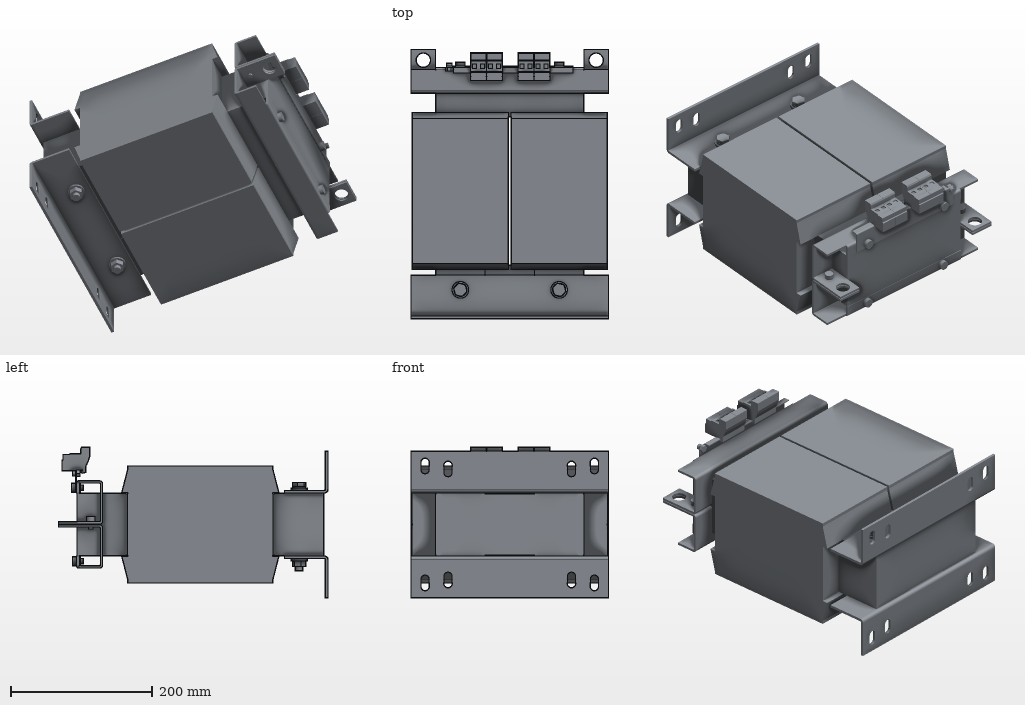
import cadquery as cq


LEG_WIDTH = 70.0
CORE_WIDTH = 3 * LEG_WIDTH
CORE_LENGTH = 5 * LEG_WIDTH
CORE_HEIGHT = 87.0
CORE_FRONT = 6.0
CORE_REAR = CORE_FRONT + CORE_LENGTH
WINDOW_FRONT = CORE_FRONT + LEG_WIDTH
WINDOW_REAR = CORE_REAR - LEG_WIDTH
PAD_THICKNESS = 1.0
CLAMP_Z = CORE_HEIGHT / 2 + PAD_THICKNESS

COIL_OUTER_X = 138.5
COIL_GAP = 4.0
COIL_HEIGHT = 166.0
COIL_CLEARANCE = 2.0
COIL_FRONT = WINDOW_FRONT + COIL_CLEARANCE
COIL_REAR = WINDOW_REAR - COIL_CLEARANCE
FLANGE_OVERHANG = 8.5
FLANGE_TOP = 78.0
FLANGE_CLEARANCE = 0.5
FLANGE_BOTTOM = CLAMP_Z + FLANGE_CLEARANCE

BRACKET_WIDTH = 280.0
BRACKET_THICKNESS = 4.0
BRACKET_BEND = 5.0
BRACKET_DEPTH = 61.8
BRACKET_TOP = 104.0
SLOT_LENGTH = 22.0
SLOT_WIDTH = 11.5
SLOT_CENTRES = [(120.0, 82.8), (87.5, 78.6)]

CHANNEL_THICKNESS = 3.5
CHANNEL_BEND = 4.5
CHANNEL_BOTTOM = 0.4
CHANNEL_TOP = 62.0
INNER_FLANGE_Z = CHANNEL_BOTTOM + CHANNEL_THICKNESS
CHANNEL_FRONT = 319.3
FLANGE_REAR = 353.0
LIP_THICKNESS = 4.0
LIP_PROJECTION = 0.5
LIP_REAR = CORE_REAR + LIP_PROJECTION
LUG_REAR = 382.0
LUG_WIDTH = (BRACKET_WIDTH - CORE_WIDTH) / 2
LUG_X = (BRACKET_WIDTH - LUG_WIDTH) / 2
LUG_HOLE_DIAMETER = 20.0
LUG_HOLE_Y = 366.5

LEG_X = LEG_WIDTH
CORE_BOLT_Y = CORE_FRONT + LEG_WIDTH / 2
CORE_HEX_DIAMETER = 19.7
CORE_HEX_TURN = 45.0
CORE_NUT_TURN = 17.0
CORE_HEAD_HEIGHT = 5.8
CORE_NUT_HEIGHT = 8.4
CORE_STUD_DIAMETER = 11.0
CORE_STUD_END = 65.6
WASHER_DIAMETER = 23.5
WASHER_THICKNESS = 3.0
SPRING_WASHER_DIAMETER = 18.5
SPRING_WASHER_THICKNESS = 2.3
LIP_BOLT_Z = 52.0
LIP_HEAD_DIAMETER = 13.2
LIP_HEAD_HEIGHT = 5.8
LIP_NUT_DIAMETER = 14.0
LIP_NUT_HEIGHT = 1.7
LIP_SHAFT_DIAMETER = 8.0
LIP_SHAFT_END = 5.6
LUG_BOLT_Y = 336.3
LUG_HEAD_DIAMETER = 12.0
LUG_HEAD_HEIGHT = 7.2
LUG_SHAFT_DIAMETER = 6.5
LUG_SHAFT_END = 2.8

RAIL_LEFT = -79.7
RAIL_RIGHT = 89.5
RAIL_THICKNESS = 1.5
RAIL_BOTTOM = 45.0
RAIL_TOP = 77.0
RAIL_REAR = LIP_REAR + RAIL_THICKNESS
RAIL_SHELF_DEPTH = 9.8
RAIL_BEND = 2.2
EARTH_X = -85.7
EARTH_Z = 72.5
EARTH_TAB_LEFT = -90.0
EARTH_HEAD_DIAMETER = 8.0
EARTH_HEAD_HEIGHT = 4.5
EARTH_NUT_DIAMETER = 11.0
EARTH_NUT_HEIGHT = 5.0

TERMINAL_PITCH = 22.6
TERMINAL_GAP = 0.3
TERMINAL_GROUPS = [-33.0, 34.4]
OVERALL_HEIGHT = 213.55
TERMINAL_TOP = OVERALL_HEIGHT - BRACKET_TOP
TERMINAL_DECK_Z = 100.5
ENTRY_SIZE = 6.0
ENTRY_DEPTH = 2.0
ENTRY_Y = 358.0
TERMINAL_OUTLINE = [
    (377.3, 76.0), (377.3, 91.0), (375.8, 91.5), (375.8, 99.2), (366.5, 99.2),
    (365.3, TERMINAL_DECK_Z), (350.5, TERMINAL_DECK_Z), (350.5, 107.0), (349.3, TERMINAL_TOP),
    (337.6, TERMINAL_TOP), (337.6, 96.5), (339.5, 90.5), (343.2, 82.4), (343.2, 73.7),
    (348.4, 72.5), (352.0, 76.0),
]


def block(x_range, y_range, z_range):
    """Axis-aligned box between pairs of limits."""
    (x0, x1), (y0, y1), (z0, z1) = x_range, y_range, z_range
    return cq.Workplane("XY").box(x1 - x0, y1 - y0, z1 - z0, centered=False).translate((x0, y0, z0))


def side_prism(outline, x0, x1):
    """Closed (Y, Z) outline extruded along X."""
    return cq.Workplane("YZ").polyline(outline).close().extrude(x1 - x0).translate((x0, 0, 0))


def rod_y(x, z, diameter, y0, y1):
    """Round bar along Y."""
    return cq.Workplane("XZ").circle(diameter / 2).extrude(y0 - y1).translate((x, y0, z))


def rod_z(x, y, diameter, z0, z1):
    """Round bar along Z."""
    return cq.Workplane("XY").circle(diameter / 2).extrude(z1 - z0).translate((x, y, z0))


def hex_z(x, y, diameter, turn, z0, z1):
    """Hexagonal bar along Z, sized across its corners."""
    bar = cq.Workplane("XY").polygon(6, diameter).extrude(z1 - z0)
    return bar.rotate((0, 0, 0), (0, 0, 1), turn).translate((x, y, z0))


def mirrored(shape, plane):
    """The shape together with its mirror image."""
    return shape.union(shape.mirror(plane))


def make_core():
    """Rectangular core frame with insulating pads on its yokes."""
    half_x = CORE_WIDTH / 2
    half_z = CORE_HEIGHT / 2
    window_x = LEG_WIDTH / 2
    core = block((-half_x, half_x), (CORE_FRONT, CORE_REAR), (-half_z, half_z))
    window = block((-window_x, window_x), (WINDOW_FRONT, WINDOW_REAR), (-half_z, half_z))
    rear_pad = block((-half_x, half_x), (WINDOW_REAR, CORE_REAR), (half_z, CLAMP_Z))
    front_pad = block((window_x, half_x), (CORE_FRONT, WINDOW_FRONT), (half_z, CLAMP_Z))
    pads = rear_pad.union(mirrored(front_pad, "YZ"))
    return core.cut(window).union(mirrored(pads, "XY"))


def make_coils():
    """Coil on each leg, with sloping end flanges above and below the yokes."""
    top = COIL_HEIGHT / 2
    upper_outline = [
        (COIL_FRONT, 0),
        (COIL_FRONT, FLANGE_BOTTOM),
        (COIL_FRONT - FLANGE_OVERHANG, FLANGE_BOTTOM),
        (COIL_FRONT, FLANGE_TOP),
        (COIL_FRONT, top),
        (COIL_REAR, top),
        (COIL_REAR, FLANGE_TOP),
        (COIL_REAR + FLANGE_OVERHANG, FLANGE_BOTTOM),
        (COIL_REAR, FLANGE_BOTTOM),
        (COIL_REAR, 0),
    ]
    upper_half = side_prism(upper_outline, COIL_GAP / 2, COIL_OUTER_X)
    return mirrored(mirrored(upper_half, "XY"), "YZ")


def make_front_brackets():
    """Slotted angle brackets above and below the front yoke."""
    outline = [
        (0, CLAMP_Z),
        (BRACKET_DEPTH, CLAMP_Z),
        (BRACKET_DEPTH, CLAMP_Z + BRACKET_THICKNESS),
        (BRACKET_THICKNESS, CLAMP_Z + BRACKET_THICKNESS),
        (BRACKET_THICKNESS, BRACKET_TOP),
        (0, BRACKET_TOP),
    ]
    bracket = side_prism(outline, -BRACKET_WIDTH / 2, BRACKET_WIDTH / 2)
    inner_corner = (0, BRACKET_THICKNESS, CLAMP_Z + BRACKET_THICKNESS)
    bracket = bracket.edges("|X").edges(cq.NearestToPointSelector(inner_corner))
    bracket = bracket.fillet(BRACKET_BEND - BRACKET_THICKNESS)
    bracket = bracket.edges("|X").edges(cq.NearestToPointSelector((0, 0, CLAMP_Z))).fillet(BRACKET_BEND)
    slot_points = [(side * x, z) for x, z in SLOT_CENTRES for side in (-1, 1)]
    slots = (
        cq.Workplane("XZ")
        .pushPoints(slot_points)
        .slot2D(SLOT_LENGTH, SLOT_WIDTH, 90)
        .extrude(-BRACKET_THICKNESS)
    )
    return mirrored(bracket.cut(slots), "XY")


def make_rear_channels():
    """Upper and lower channels behind the coils, open to the rear.

    Each has lifting lugs on its inner flange and a lip turned down from its outer flange.
    """
    half_x = BRACKET_WIDTH / 2
    lip_x = CORE_WIDTH / 2
    web_rear = CHANNEL_FRONT + CHANNEL_THICKNESS
    channel = block((-half_x, half_x), (CHANNEL_FRONT, FLANGE_REAR), (CHANNEL_BOTTOM, CHANNEL_TOP))
    channel = channel.edges("|X and <Y").fillet(CHANNEL_BEND)
    cavity = block(
        (-half_x, half_x), (web_rear, FLANGE_REAR), (INNER_FLANGE_Z, CHANNEL_TOP - CHANNEL_THICKNESS)
    )
    cavity = cavity.edges("|X and <Y").fillet(CHANNEL_BEND - CHANNEL_THICKNESS)
    lip = block((-lip_x, lip_x), (LIP_REAR - LIP_THICKNESS, LIP_REAR), (CLAMP_Z, CHANNEL_TOP))
    lip = lip.edges("|X and >Y and >Z").fillet(LIP_REAR - FLANGE_REAR)
    lug = block((lip_x, half_x), (web_rear, LUG_REAR), (CHANNEL_BOTTOM, INNER_FLANGE_Z))
    lug = lug.cut(rod_z(LUG_X, LUG_HOLE_Y, LUG_HOLE_DIAMETER, CHANNEL_BOTTOM, INNER_FLANGE_Z))
    return mirrored(channel.cut(cavity).union(lip).union(mirrored(lug, "YZ")), "XY")


def make_core_bolt(x):
    """Vertical bolt through the front yoke, with washers, head on top and nut below."""
    seat = CLAMP_Z + BRACKET_THICKNESS
    washer_top = seat + WASHER_THICKNESS
    head_base = washer_top + SPRING_WASHER_THICKNESS
    y = CORE_BOLT_Y
    bolt = rod_z(x, y, WASHER_DIAMETER, seat, washer_top)
    bolt = bolt.union(rod_z(x, y, SPRING_WASHER_DIAMETER, washer_top, head_base))
    bolt = bolt.union(hex_z(x, y, CORE_HEX_DIAMETER, CORE_HEX_TURN, head_base, head_base + CORE_HEAD_HEIGHT))
    bolt = bolt.union(rod_z(x, y, WASHER_DIAMETER, -washer_top, -seat))
    nut_base = -washer_top - CORE_NUT_HEIGHT
    bolt = bolt.union(hex_z(x, y, CORE_HEX_DIAMETER, CORE_NUT_TURN, nut_base, -washer_top))
    return bolt.union(rod_z(x, y, CORE_STUD_DIAMETER, -CORE_STUD_END, seat))


def make_lip_bolt(x, z, seat_y):
    """Screw along Y through a channel lip, its head seated at seat_y."""
    nut_seat = LIP_REAR - LIP_THICKNESS
    nut_end = nut_seat - LIP_NUT_HEIGHT
    bolt = rod_y(x, z, LIP_HEAD_DIAMETER, seat_y, seat_y + LIP_HEAD_HEIGHT)
    bolt = bolt.union(rod_y(x, z, LIP_NUT_DIAMETER, nut_end, nut_seat))
    return bolt.union(rod_y(x, z, LIP_SHAFT_DIAMETER, nut_seat - LIP_SHAFT_END, seat_y))


def make_lug_bolt(x):
    """Vertical screw joining the two channels at a lug."""
    head_top = INNER_FLANGE_Z + LUG_HEAD_HEIGHT
    head = rod_z(x, LUG_BOLT_Y, LUG_HEAD_DIAMETER, INNER_FLANGE_Z, head_top)
    shaft_end = -INNER_FLANGE_Z - LUG_SHAFT_END
    return head.union(rod_z(x, LUG_BOLT_Y, LUG_SHAFT_DIAMETER, shaft_end, INNER_FLANGE_Z))


def make_rail():
    """Upright plate with a shelf for the terminals and an earth screw on its left end."""
    plate = block((EARTH_TAB_LEFT, RAIL_RIGHT), (LIP_REAR, RAIL_REAR), (RAIL_BOTTOM, RAIL_TOP))
    shelf = block(
        (RAIL_LEFT, RAIL_RIGHT),
        (RAIL_REAR - RAIL_SHELF_DEPTH, RAIL_REAR),
        (RAIL_TOP - RAIL_THICKNESS, RAIL_TOP),
    )
    rail = plate.union(shelf)
    rail = rail.edges("|X and >Y and >Z").fillet(RAIL_BEND)
    head = rod_y(EARTH_X, EARTH_Z, EARTH_HEAD_DIAMETER, RAIL_REAR, RAIL_REAR + EARTH_HEAD_HEIGHT)
    nut = cq.Workplane("XZ").polygon(6, EARTH_NUT_DIAMETER).extrude(EARTH_NUT_HEIGHT)
    nut = nut.translate((EARTH_X, LIP_REAR, EARTH_Z))
    return rail.union(head).union(nut)


def make_terminal(x):
    """Terminal housing centred at x with two square wire entries in its deck."""
    half_width = (TERMINAL_PITCH - TERMINAL_GAP) / 2
    housing = side_prism(TERMINAL_OUTLINE, x - half_width, x + half_width)
    half_entry = ENTRY_SIZE / 2
    for side in (-1, 1):
        entry_x = x + side * TERMINAL_PITCH / 4
        entry = block(
            (entry_x - half_entry, entry_x + half_entry),
            (ENTRY_Y - half_entry, ENTRY_Y + half_entry),
            (TERMINAL_DECK_Z - ENTRY_DEPTH, TERMINAL_DECK_Z),
        )
        housing = housing.cut(entry)
    return housing


result = make_core().union(make_coils()).union(make_front_brackets()).union(make_rear_channels())
result = result.union(make_rail())
for side in (-1, 1):
    result = result.union(make_core_bolt(side * LEG_X))
    result = result.union(make_lip_bolt(side * LEG_X, LIP_BOLT_Z, RAIL_REAR))
    result = result.union(make_lip_bolt(side * LEG_X, -LIP_BOLT_Z, LIP_REAR))
    result = result.union(make_lug_bolt(side * LUG_X))
for group_x in TERMINAL_GROUPS:
    for side in (-1, 1):
        result = result.union(make_terminal(group_x + side * TERMINAL_PITCH / 2))